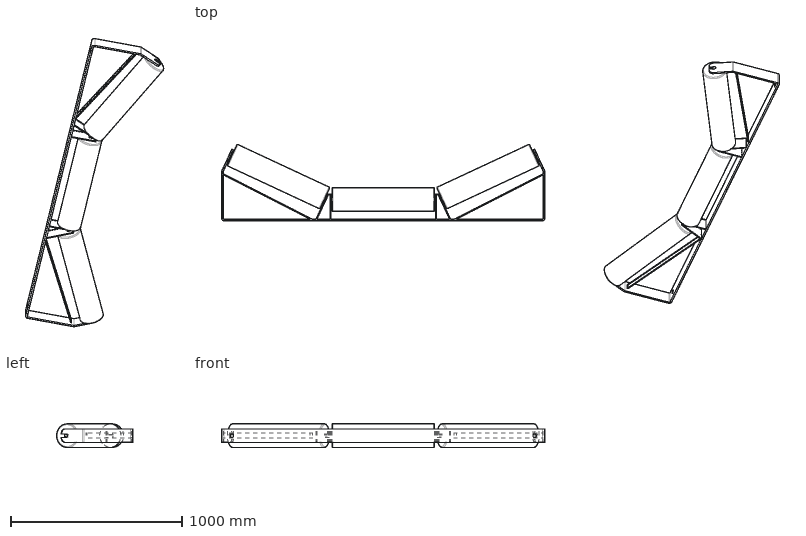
import cadquery as cq
import math


TILT = math.radians(25)
COS_TILT = math.cos(TILT)
SIN_TILT = math.sin(TILT)

FRAME_LENGTH = 1890.0
STRAP_WIDTH = 80.0
FRAME_THICKNESS = 10.0
BEND_RADIUS = 15.0
BEND_HEIGHT = 291.0
TIP_RADIUS = 25.0
MOUNT_HOLE_DIAMETER = 20.0
MOUNT_HOLE_INSET = 60.0

ROLLER_DIAMETER = 140.0
ROLLER_LENGTH = 600.0
ROLLER_EDGE_RADIUS = 5.0
MIDDLE_ROLLER_Y = 125.0
OUTER_ROLLER_X = 612.0
OUTER_ROLLER_Y = 259.0
SHAFT_DIAMETER = 19.0
SLOT_DEPTH = 30.0

SHEET_THICKNESS = 6.0
BRACKET_HEIGHT = 157.0
MIDDLE_GAP = 6.6
INNER_GAP = 4.0
BRACE_WIDTH = 30.0
BRACE_TOP_Y = 272.0
BRACE_FOOT_X = 421.0

HALF_LENGTH = FRAME_LENGTH / 2
HALF_ROLLER = ROLLER_LENGTH / 2
UPRIGHT_INNER_X = -HALF_LENGTH + FRAME_THICKNESS
OUTER_CENTER = cq.Vector(-OUTER_ROLLER_X, OUTER_ROLLER_Y, 0)
MIDDLE_CENTER = cq.Vector(0, MIDDLE_ROLLER_Y, 0)
AXIS = cq.Vector(COS_TILT, -SIN_TILT, 0)
ARM_UP = cq.Vector(SIN_TILT, COS_TILT, 0)
X_AXIS = cq.Vector(1, 0, 0)
Y_AXIS = cq.Vector(0, 1, 0)

BEND_POINT = cq.Vector(-HALF_LENGTH, BEND_HEIGHT, 0)
ARM_OUTER = (BEND_POINT - OUTER_CENTER).dot(AXIS)
ARM_INNER = ARM_OUTER + FRAME_THICKNESS
LEG_OUTER = HALF_ROLLER + INNER_GAP
LEG_INNER = LEG_OUTER + SHEET_THICKNESS
MIDDLE_LEG_INNER = HALF_ROLLER + MIDDLE_GAP
MIDDLE_LEG_OUTER = MIDDLE_LEG_INNER + SHEET_THICKNESS


def mirrored(body):
    """The same body on the right-hand side."""
    return body.mirror("YZ")


def strap(points, width):
    """A flat outline in XY given a width in Z, centred on Z = 0."""
    outline = [(p[0], p[1]) for p in points]
    return cq.Workplane("XY").polyline(outline).close().extrude(width / 2, both=True)


def cylinder(center, axis, start, end, diameter):
    """A cylinder between two distances along an axis through a centre."""
    plane = cq.Plane(center + axis * start, xDir=(0, 0, 1), normal=axis)
    return cq.Workplane(plane).circle(diameter / 2).extrude(end - start)


def shaft_slot(center, axis, up, start, end):
    """Cutter for a round-bottomed slot that opens in the `up` direction."""
    middle = center + axis * ((start + end) / 2)
    plane = cq.Plane(middle + up * SLOT_DEPTH, xDir=axis, normal=(0, 0, 1))
    channel = cq.Workplane(plane).rect(end - start, 2 * SLOT_DEPTH).extrude(SHAFT_DIAMETER / 2, both=True)
    return channel.union(cylinder(center, axis, start, end, SHAFT_DIAMETER))


def make_roller(center, axis, shaft_start, shaft_end):
    """A roller with rounded rims and a shaft that ends flush with its supports."""
    barrel = cylinder(center, axis, -HALF_ROLLER, HALF_ROLLER, ROLLER_DIAMETER)
    barrel = barrel.edges("%CIRCLE").fillet(ROLLER_EDGE_RADIUS)
    return barrel.union(cylinder(center, axis, shaft_start, shaft_end, SHAFT_DIAMETER))


def make_half_frame():
    """Left half of the frame: base, upright and tilted arm with a shaft slot."""
    arm_end = OUTER_CENTER + ARM_UP * SLOT_DEPTH
    outer_tip = arm_end + AXIS * ARM_OUTER
    inner_tip = arm_end + AXIS * ARM_INNER
    inner_bend_y = BEND_HEIGHT - FRAME_THICKNESS * math.tan(TILT / 2)
    half = strap([
        (0, 0),
        (-HALF_LENGTH, 0),
        (-HALF_LENGTH, BEND_HEIGHT),
        (outer_tip.x, outer_tip.y),
        (inner_tip.x, inner_tip.y),
        (UPRIGHT_INNER_X, inner_bend_y),
        (UPRIGHT_INNER_X, FRAME_THICKNESS),
        (0, FRAME_THICKNESS),
    ], STRAP_WIDTH)
    inner_radius = BEND_RADIUS - FRAME_THICKNESS
    for x, y, radius in (
        (-HALF_LENGTH, 0, BEND_RADIUS),
        (UPRIGHT_INNER_X, FRAME_THICKNESS, inner_radius),
        (-HALF_LENGTH, BEND_HEIGHT, BEND_RADIUS),
        (UPRIGHT_INNER_X, inner_bend_y, inner_radius),
    ):
        bend_edge = cq.selectors.NearestToPointSelector((x, y, 0))
        half = half.edges("|Z").edges(bend_edge).fillet(radius)
    half = half.edges(cq.selectors.ParallelDirSelector(AXIS)).fillet(TIP_RADIUS)

    hole_center = cq.Vector(-HALF_LENGTH + MOUNT_HOLE_INSET, 0, 0)
    half = half.cut(cylinder(hole_center, Y_AXIS, 0, FRAME_THICKNESS, MOUNT_HOLE_DIAMETER))
    return half.cut(shaft_slot(OUTER_CENTER, AXIS, ARM_UP, ARM_OUTER, ARM_INNER))


def make_bracket():
    """Left bracket: an upright leg and a tilted leg joined by a narrow top."""

    def tilted_face_x(distance, y):
        """X at height y on a plane square to the outer roller's axis."""
        on_axis = OUTER_CENTER + AXIS * distance
        return on_axis.x + (y - on_axis.y) * math.tan(TILT)

    web_y = BRACKET_HEIGHT - SHEET_THICKNESS
    bracket = strap([
        (tilted_face_x(LEG_OUTER, FRAME_THICKNESS), FRAME_THICKNESS),
        (tilted_face_x(LEG_OUTER, BRACKET_HEIGHT), BRACKET_HEIGHT),
        (-MIDDLE_LEG_INNER, BRACKET_HEIGHT),
        (-MIDDLE_LEG_INNER, FRAME_THICKNESS),
        (-MIDDLE_LEG_OUTER, FRAME_THICKNESS),
        (-MIDDLE_LEG_OUTER, web_y),
        (tilted_face_x(LEG_INNER, web_y), web_y),
        (tilted_face_x(LEG_INNER, FRAME_THICKNESS), FRAME_THICKNESS),
    ], STRAP_WIDTH)
    bracket = bracket.cut(shaft_slot(OUTER_CENTER, AXIS, ARM_UP, LEG_OUTER, LEG_INNER))
    return bracket.cut(shaft_slot(MIDDLE_CENTER, X_AXIS, Y_AXIS, -MIDDLE_LEG_OUTER, -MIDDLE_LEG_INNER))


def make_brace():
    """Left brace: a sloping strip mitred to the upright and to the base."""
    rise = BRACE_TOP_Y - FRAME_THICKNESS
    run = -BRACE_FOOT_X - UPRIGHT_INNER_X
    slope = math.atan2(rise, run)
    half_cut_y = SHEET_THICKNESS / 2 / math.cos(slope)
    half_cut_x = SHEET_THICKNESS / 2 / math.sin(slope)
    return strap([
        (UPRIGHT_INNER_X, BRACE_TOP_Y - half_cut_y),
        (UPRIGHT_INNER_X, BRACE_TOP_Y + half_cut_y),
        (-BRACE_FOOT_X + half_cut_x, FRAME_THICKNESS),
        (-BRACE_FOOT_X - half_cut_x, FRAME_THICKNESS),
    ], BRACE_WIDTH)


half_frame = make_half_frame()
frame = half_frame.union(mirrored(half_frame))
middle_roller = make_roller(MIDDLE_CENTER, X_AXIS, -MIDDLE_LEG_OUTER, MIDDLE_LEG_OUTER)

bodies = [frame.val(), middle_roller.val()]
for left_body in (
    make_roller(OUTER_CENTER, AXIS, ARM_OUTER, LEG_INNER),
    make_bracket(),
    make_brace(),
):
    bodies.append(left_body.val())
    bodies.append(mirrored(left_body).val())

result = cq.Compound.makeCompound(bodies)